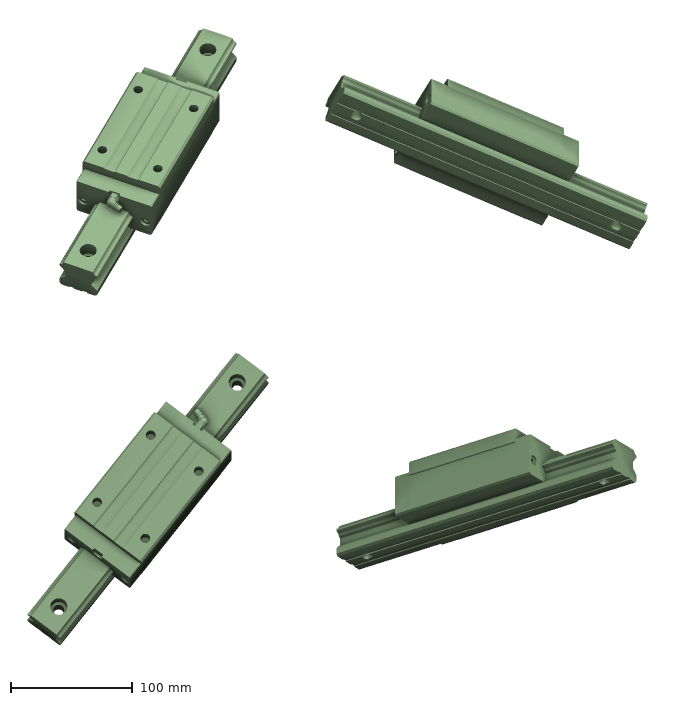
import cadquery as cq
import math

RAIL_LENGTH = 280.0
RAIL_HEIGHT = 28.7
RAIL_HALF_WIDTH = 17.0
RAIL_TOP_HALF_WIDTH = 13.3
RAIL_WAIST_HALF_WIDTH = 11.6
RAIL_WAIST_BOTTOM = 11.9
RAIL_WAIST_TOP = 17.8
RAIL_FOOT_TOP = 6.9
RAIL_FOOT_CHAMFER = 1.9
LIP_TOP = 25.2
LIP_BOTTOM = 22.3
LIP_CHAMFER = 0.8
RAIL_TOP_CHAMFER = 0.4
UPPER_RACE_MIDDLE = (14.2, 26.4)
LOWER_RACE_MIDDLE = (14.6, 21.3)
LOWER_RACE_END = (13.6, 19.4)
RELIEF_INNER = 3.8
RELIEF_OUTER = 8.0
RELIEF_DEPTH = 1.0
RAIL_HOLE_INSET = 20.0
RAIL_HOLE_DIAMETER = 9.0
RAIL_COUNTERBORE_DIAMETER = 14.0
RAIL_COUNTERBORE_DEPTH = 12.0

CARRIAGE_TOP = 55.0
CARRIAGE_BOTTOM = 9.3
BLOCK_LENGTH = 107.0
PLATE_HALF_WIDTH = 35.0
PLATE_BOTTOM = 41.5
PLATE_TOP_CHAMFER = 1.8
BLOCK_HALF_WIDTH = 34.2
PLATE_STEP = PLATE_HALF_WIDTH - BLOCK_HALF_WIDTH
BOTTOM_CHAMFER = 1.5
CARRIAGE_LENGTH = 136.5
CAP_HALF_WIDTH = 34.0
CAP_TOP = 45.5
CAP_TOP_CHAMFER = 0.8

TOP_GROOVE_INNER = 5.3
TOP_GROOVE_OUTER = 15.8
TOP_GROOVE_DEPTH = 0.8
TOP_GROOVE_SLOPE = 1.2

MOUNT_SPACING_X = 50.0
MOUNT_SPACING_Y = 72.0
MOUNT_HOLE_DIAMETER = 8.0
MOUNT_HOLE_DEPTH = 12.0

SCREW_X = 28.0
SCREW_Z = 23.5
SCREW_RECESS_DIAMETER = 8.8
SCREW_RECESS_DEPTH = 2.0
SCREW_SOCKET_FLATS = 4.2
SCREW_SOCKET_DEPTH = 2.0

NIPPLE_Z = 40.0
SEAT_RADIUS = 4.7
SEAT_CENTRE_Z = 39.5
SEAT_DEPTH = 2.0
HEX_FLATS = 7.8
HEX_LENGTH = SEAT_DEPTH + 2.4
STEM_RADIUS = 3.8
STEM_END = 5.9
SPOUT_ANGLE = 20.0
COLLAR_START = 2.6
COLLAR_RADIUS = 3.5
COLLAR_END = 4.9
RING_RADIUS = 3.5
RING_START = 5.8
RING_END = 7.2
NECK_RADIUS = 2.7
HEAD_RADIUS = 3.3
HEAD_START = 8.0
TIP_RADIUS = 2.5
SPOUT_LENGTH = 11.4

CAP_FACE_Y = CARRIAGE_LENGTH / 2
HEX_CORNERS_PER_FLATS = 1 / math.cos(math.pi / 6)


def extrude_along_y(outline, length):
    """Extrude an XZ outline symmetrically about Y = 0."""
    return outline.extrude(length / 2, both=True)


def rail_bar():
    """Plain rail section: foot, waist and a lip with a concave track above and below it."""
    half = (
        cq.Workplane("XZ")
        .moveTo(0, 0)
        .lineTo(RELIEF_INNER, 0)
        .lineTo(RELIEF_INNER, RELIEF_DEPTH)
        .lineTo(RELIEF_OUTER, RELIEF_DEPTH)
        .lineTo(RELIEF_OUTER, 0)
        .lineTo(RAIL_HALF_WIDTH - RAIL_FOOT_CHAMFER, 0)
        .lineTo(RAIL_HALF_WIDTH, RAIL_FOOT_CHAMFER)
        .lineTo(RAIL_HALF_WIDTH, RAIL_FOOT_TOP)
        .lineTo(RAIL_WAIST_HALF_WIDTH, RAIL_WAIST_BOTTOM)
        .lineTo(RAIL_WAIST_HALF_WIDTH, RAIL_WAIST_TOP)
        .lineTo(*LOWER_RACE_END)
        .threePointArc(LOWER_RACE_MIDDLE, (RAIL_HALF_WIDTH - LIP_CHAMFER, LIP_BOTTOM))
        .lineTo(RAIL_HALF_WIDTH, LIP_BOTTOM + LIP_CHAMFER)
        .lineTo(RAIL_HALF_WIDTH, LIP_TOP - LIP_CHAMFER)
        .lineTo(RAIL_HALF_WIDTH - LIP_CHAMFER, LIP_TOP)
        .threePointArc(UPPER_RACE_MIDDLE, (RAIL_TOP_HALF_WIDTH, RAIL_HEIGHT - RAIL_TOP_CHAMFER))
        .lineTo(RAIL_TOP_HALF_WIDTH - RAIL_TOP_CHAMFER, RAIL_HEIGHT)
        .lineTo(0, RAIL_HEIGHT)
        .close()
    )
    bar = extrude_along_y(half, RAIL_LENGTH)
    return bar.union(bar.mirror("YZ"))


def make_rail():
    """Rail with a counterbored fixing hole near each end."""
    hole_y = RAIL_LENGTH / 2 - RAIL_HOLE_INSET
    return (
        rail_bar()
        .faces(">Z")
        .workplane(origin=(0, 0, RAIL_HEIGHT))
        .pushPoints([(0, -hole_y), (0, hole_y)])
        .cboreHole(RAIL_HOLE_DIAMETER, RAIL_COUNTERBORE_DIAMETER, RAIL_COUNTERBORE_DEPTH)
    )


def carriage_block():
    """Steel block whose top plate overhangs its sides slightly."""
    right_side = [
        (BLOCK_HALF_WIDTH - BOTTOM_CHAMFER, CARRIAGE_BOTTOM),
        (BLOCK_HALF_WIDTH, CARRIAGE_BOTTOM + BOTTOM_CHAMFER),
        (BLOCK_HALF_WIDTH, PLATE_BOTTOM),
        (PLATE_HALF_WIDTH, PLATE_BOTTOM + PLATE_STEP),
        (PLATE_HALF_WIDTH, CARRIAGE_TOP - PLATE_TOP_CHAMFER),
        (PLATE_HALF_WIDTH - PLATE_TOP_CHAMFER, CARRIAGE_TOP),
    ]
    left_side = [(-x, z) for x, z in reversed(right_side)]
    outline = cq.Workplane("XZ").polyline(right_side + left_side).close()
    return extrude_along_y(outline, BLOCK_LENGTH)


def end_caps():
    """Lower, slightly narrower section that shows at both ends of the block."""
    right_side = [
        (CAP_HALF_WIDTH - BOTTOM_CHAMFER, CARRIAGE_BOTTOM),
        (CAP_HALF_WIDTH, CARRIAGE_BOTTOM + BOTTOM_CHAMFER),
        (CAP_HALF_WIDTH, CAP_TOP - CAP_TOP_CHAMFER),
        (CAP_HALF_WIDTH - CAP_TOP_CHAMFER, CAP_TOP),
    ]
    left_side = [(-x, z) for x, z in reversed(right_side)]
    outline = cq.Workplane("XZ").polyline(right_side + left_side).close()
    return extrude_along_y(outline, CARRIAGE_LENGTH)


def top_groove(side):
    """Shallow groove with sloping flanks along the top; side is +1 or -1."""
    floor_z = CARRIAGE_TOP - TOP_GROOVE_DEPTH
    section = [
        (side * TOP_GROOVE_INNER, CARRIAGE_TOP),
        (side * (TOP_GROOVE_INNER + TOP_GROOVE_SLOPE), floor_z),
        (side * (TOP_GROOVE_OUTER - TOP_GROOVE_SLOPE), floor_z),
        (side * TOP_GROOVE_OUTER, CARRIAGE_TOP),
    ]
    return extrude_along_y(cq.Workplane("XZ").polyline(section).close(), BLOCK_LENGTH)


def mounting_holes():
    """Four blind holes in the top plate."""
    return (
        cq.Workplane("XY", origin=(0, 0, CARRIAGE_TOP))
        .rect(MOUNT_SPACING_X, MOUNT_SPACING_Y, forConstruction=True)
        .vertices()
        .circle(MOUNT_HOLE_DIAMETER / 2)
        .extrude(-MOUNT_HOLE_DEPTH)
    )


def screw_recess(x):
    """Round recess in the front cap face with a hexagon socket, corners up and down, in its floor."""
    face = cq.Workplane(cq.Plane(origin=(x, -CAP_FACE_Y, SCREW_Z), xDir=(0, 0, 1), normal=(0, -1, 0)))
    recess = face.circle(SCREW_RECESS_DIAMETER / 2).extrude(-SCREW_RECESS_DEPTH)
    socket = (
        face.polygon(6, SCREW_SOCKET_FLATS * HEX_CORNERS_PER_FLATS)
        .extrude(-SCREW_RECESS_DEPTH - SCREW_SOCKET_DEPTH)
    )
    return recess.union(socket)


def nipple_seat():
    """U-shaped recess in the front cap face, open at the top."""
    return (
        cq.Workplane("XZ", origin=(0, -CAP_FACE_Y, 0))
        .moveTo(-SEAT_RADIUS, CAP_TOP)
        .lineTo(-SEAT_RADIUS, SEAT_CENTRE_Z)
        .threePointArc((0, SEAT_CENTRE_Z - SEAT_RADIUS), (SEAT_RADIUS, SEAT_CENTRE_Z))
        .lineTo(SEAT_RADIUS, CAP_TOP)
        .close()
        .extrude(-SEAT_DEPTH)
    )


def make_carriage():
    """Block with end caps, its channel fitting the rail and its end recesses alike front and back."""
    carriage = carriage_block().union(end_caps()).cut(rail_bar())
    for side in (-1, 1):
        carriage = carriage.cut(top_groove(side))
    carriage = carriage.cut(mounting_holes())
    for recess in (screw_recess(-SCREW_X), screw_recess(SCREW_X), nipple_seat()):
        carriage = carriage.cut(recess).cut(recess.mirror("XZ"))
    return carriage


def nipple_spout():
    """Turned spout along +X from the elbow centre: collar, ring and tapered head."""
    return (
        cq.Workplane("XY")
        .polyline([
            (0, 0),
            (0, NECK_RADIUS),
            (COLLAR_START, NECK_RADIUS),
            (COLLAR_START, COLLAR_RADIUS),
            (COLLAR_END, COLLAR_RADIUS),
            (COLLAR_END, NECK_RADIUS),
            (RING_START, NECK_RADIUS),
            (RING_START, RING_RADIUS),
            (RING_END, RING_RADIUS),
            (RING_END, NECK_RADIUS),
            (HEAD_START, NECK_RADIUS),
            (HEAD_START, HEAD_RADIUS),
            (SPOUT_LENGTH, TIP_RADIUS),
            (SPOUT_LENGTH, 0),
        ])
        .close()
        .revolve(360, (0, 0, 0), (1, 0, 0))
    )


def nipple_stem():
    """Round stem out to the elbow, ending in a ball of the same radius."""
    elbow_y = -SEAT_DEPTH - STEM_END
    ball_middle = (STEM_RADIUS * math.cos(math.pi / 4), elbow_y - STEM_RADIUS * math.sin(math.pi / 4))
    return (
        cq.Workplane("XY")
        .lineTo(STEM_RADIUS, 0)
        .lineTo(STEM_RADIUS, elbow_y)
        .threePointArc(ball_middle, (0, elbow_y - STEM_RADIUS))
        .close()
        .revolve(360, (0, 0, 0), (0, 1, 0))
    )


def make_nipple():
    """Elbow nipple: hexagon base, round stem with a ball elbow, and an angled spout."""
    base = cq.Workplane("XZ").polygon(6, HEX_FLATS * HEX_CORNERS_PER_FLATS).extrude(HEX_LENGTH)
    spout = (
        nipple_spout()
        .rotate((0, 0, 0), (0, 0, 1), -SPOUT_ANGLE)
        .translate((0, -SEAT_DEPTH - STEM_END, 0))
    )
    nipple = nipple_stem().union(base).union(spout)
    return nipple.translate((0, SEAT_DEPTH - CAP_FACE_Y, NIPPLE_Z))


rail = make_rail()
carriage = make_carriage()
nipple = make_nipple()

result = cq.Compound.makeCompound([body.solids().val() for body in (rail, carriage, nipple)])